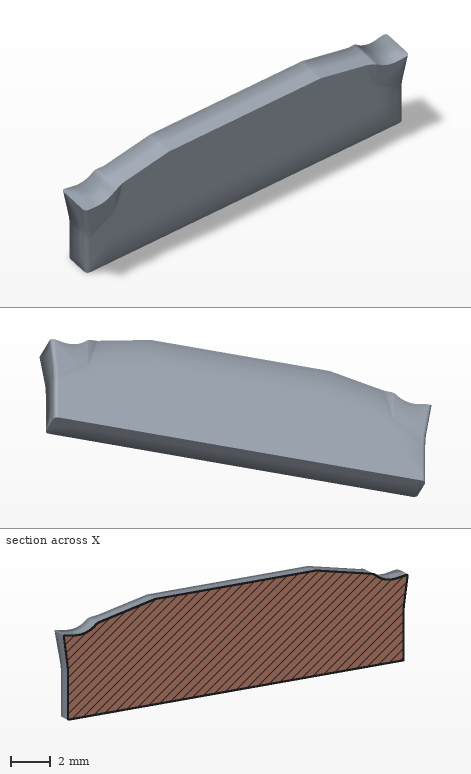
import cadquery as cq
import math


length = 20.07
height = 5.54
tip_width = 2.0
blade_thickness = 1.6

tip_height = 4.48
crest_half_length = 4.69
slope_angle = math.radians(12)
land_length = 0.69
land_angle = math.radians(8)
chip_radius = 1.5
chip_exit_angle = math.radians(41.5)
clearance_angle = math.radians(8)
clearance_end_height = 2.9
blend_radius = 3.5

head_corner_radius = 0.2
head_base_z = 2.28
flank_foot_z = 3.38
flank_foot_slope = 0.68
shoulder_y = 8.04
ramp_end_y = 7.54
shoulder_radius = 0.2

blade_corner_radius = 0.22

half_length = length / 2
half_blade = blade_thickness / 2
tool_size = 4 * length


def slope_height(y):
    """Height of the sloping top at distance y from the middle."""
    return height - (y - crest_half_length) * math.tan(slope_angle)


def on_circle(center, radius, angle):
    """Point at the given angle from the upward direction, turning towards the tip."""
    return (center[0] + radius * math.sin(angle), center[1] + radius * math.cos(angle))


def half_profile():
    """Side outline of one half of the insert, in the YZ plane."""
    land_end = (half_length - land_length, tip_height - land_length * math.tan(land_angle))

    chip_center = (
        land_end[0] - chip_radius * math.sin(land_angle),
        land_end[1] + chip_radius * math.cos(land_angle),
    )
    chip_middle = on_circle(chip_center, -chip_radius, (chip_exit_angle - land_angle) / 2)
    chip_end = on_circle(chip_center, -chip_radius, chip_exit_angle)

    slope_gap = (slope_height(chip_end[0]) - chip_end[1]) * math.cos(slope_angle)
    ridge_radius = slope_gap / (1 - math.cos(chip_exit_angle - slope_angle))
    ridge_center = on_circle(chip_end, -ridge_radius, chip_exit_angle)
    ridge_middle = on_circle(ridge_center, ridge_radius, (chip_exit_angle + slope_angle) / 2)
    ridge_end = on_circle(ridge_center, ridge_radius, slope_angle)

    clearance_depth = (tip_height - clearance_end_height) * math.tan(clearance_angle)
    clearance_end = (half_length - clearance_depth, clearance_end_height)
    blade_end_y = clearance_end[0] - blend_radius * (1 - math.cos(clearance_angle))
    blend_end = (blade_end_y, clearance_end_height - blend_radius * math.sin(clearance_angle))
    blend_middle = (
        blade_end_y + blend_radius * (1 - math.cos(clearance_angle / 2)),
        blend_end[1] + blend_radius * math.sin(clearance_angle / 2),
    )

    return (
        cq.Workplane("YZ")
        .moveTo(0, 0)
        .lineTo(blade_end_y, 0)
        .lineTo(*blend_end)
        .threePointArc(blend_middle, clearance_end)
        .lineTo(half_length, tip_height)
        .lineTo(*land_end)
        .threePointArc(chip_middle, chip_end)
        .threePointArc(ridge_middle, ridge_end)
        .lineTo(crest_half_length, height)
        .lineTo(0, height)
        .close()
    )


def half_space(point, normal):
    """Large block on the inner side of the plane through a point."""
    plane = cq.Plane(origin=point, normal=normal)
    return cq.Workplane(plane).rect(tool_size, tool_size).extrude(-tool_size)


def head_flank():
    """Wedge on the +X side: the flared flank and the ramp behind it."""
    foot = cq.Vector(half_blade, shoulder_y, flank_foot_z)
    edge_y = half_length - head_corner_radius
    edge_z = tip_height - head_corner_radius * math.tan(land_angle)
    edge_foot_z = flank_foot_z - (edge_y - shoulder_y) * flank_foot_slope
    flank_rise = (tip_width / 2 - half_blade) / (edge_z - edge_foot_z)
    flank_normal = cq.Vector(1, -flank_rise * flank_foot_slope, -flank_rise)

    shoulder_z = slope_height(shoulder_y)
    shoulder = cq.Vector(half_blade + (shoulder_z - flank_foot_z) * flank_rise, shoulder_y, shoulder_z)
    ramp_end = cq.Vector(half_blade, ramp_end_y, slope_height(ramp_end_y))
    ramp_normal = (shoulder - foot).cross(ramp_end - foot)
    if ramp_normal.x < 0:
        ramp_normal = -ramp_normal

    block = cq.Workplane().box(tip_width, length, height, centered=(False, False, False))
    block = block.translate((0, 0, head_base_z))
    wedge = block.intersect(half_space(foot.toTuple(), flank_normal))
    wedge = wedge.intersect(half_space(foot.toTuple(), ramp_normal))
    shoulder_middle = ((foot + shoulder) * 0.5).toTuple()
    shoulder_edge = wedge.edges(cq.selectors.NearestToPointSelector(shoulder_middle))
    return shoulder_edge.fillet(shoulder_radius)


def round_corner(solid, base_z, radius):
    """Round the outer upright corner of the end face, upwards from its lower end."""
    base_corner = (tip_width, length, base_z)
    upright = solid.edges("not #Z").edges(cq.selectors.NearestToPointSelector(base_corner))
    return upright.fillet(radius)


def half_insert():
    """One end of the insert, on the +Y side."""
    blade = round_corner(half_profile().extrude(half_blade), 0, blade_corner_radius)
    flared = half_profile().extrude(tip_width).intersect(head_flank())
    flared = round_corner(flared, head_base_z, head_corner_radius)
    quarter = blade.union(flared)
    return quarter.union(quarter.mirror("YZ"))


end_half = half_insert()
result = end_half.union(end_half.mirror("XZ")).clean()